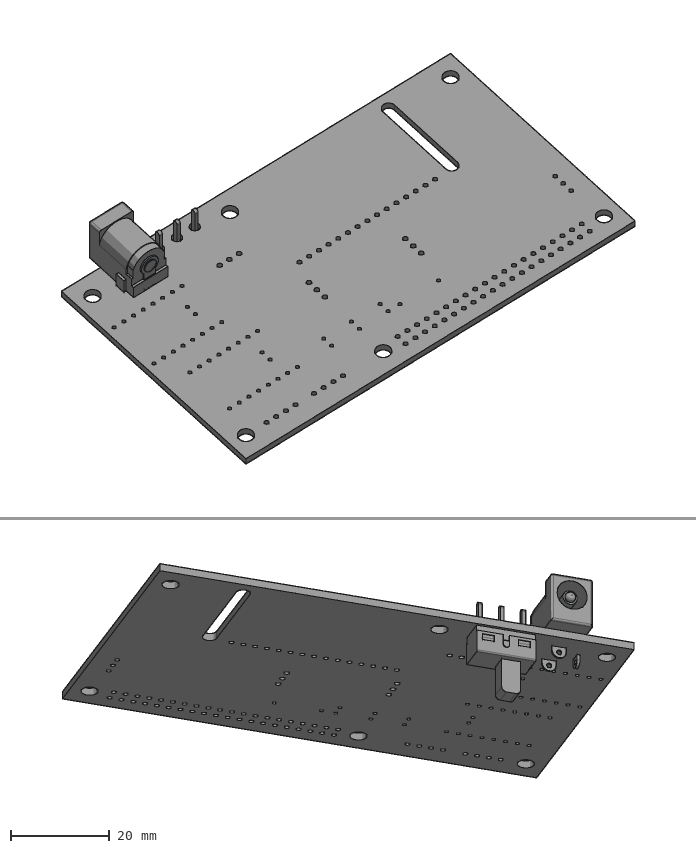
import cadquery as cq

BOARD_X = 59.0
BOARD_Y = 102.0
BOARD_T = 1.6

TOTAL_HEIGHT = 25.9

MOUNT_DIA = 3.5
MOUNT_XS = (5.0, 54.0)
MOUNT_YS = (4.1, 40.1, 97.9)
SLOT_CENTER = (13.7, 82.8)
SLOT_LENGTH = 23.1
SLOT_WIDTH = 3.0

HEADER_ROWS = 20
HEADER_LENGTH = 48.2
PITCH = HEADER_LENGTH / (HEADER_ROWS - 1)
SMALL_DIA = 0.8
MIDDLE_DIA = 0.95
HEADER_DIA = 1.0
LARGE_DIA = 1.1

CHIP_ROWS = 8
CHIP_WIDTH = 5 * PITCH
CHIP_CORNERS = ((14.4, 2.0), (33.6, 6.1))
CAPACITOR_STARTS = ((19.5, 17.0), (38.7, 20.9), (43.7, 47.7), (43.7, 40.2), (43.7, 32.9))
RESISTOR_START = (46.2, 50.8)
RESISTOR_SPAN = 4 * PITCH

HEADER_X = 52.7
HEADER_Y = 44.9
DISPLAY_START = (24.5, 42.3)
DISPLAY_ROWS = 15
SOCKET_STARTS = ((54.0, 9.5), (54.0, 21.9))
SOCKET_ROWS = 4

TOP_TRIO_START = (39.3, 97.2)
UPRIGHT_TRIO_START = (14.9, 29.3)
FLAT_TRIO_STARTS = ((30.0, 40.3), (33.2, 62.9))

JACK_FRONT = -3.8
JACK_FLANGE_BACK = -0.3
JACK_BODY_BACK = 8.3
JACK_BACK = 10.0
JACK_FOOT_BACK = 10.6
JACK_Y = 14.7
JACK_W = 9.0
JACK_H = 10.7
JACK_TOP = BOARD_T + JACK_H
JACK_BARREL_DROP = 0.2
JACK_BARREL_TOP = JACK_TOP - JACK_BARREL_DROP
JACK_BARREL_RISE = 4.0
JACK_NECK_W = 8.2
JACK_NECK_DROP = 0.1
JACK_NECK_TOP = JACK_BARREL_TOP - JACK_NECK_DROP
JACK_NECK_RISE = 3.0
JACK_SHOULDER_H = 5.1
JACK_FOOT_H = 3.1
JACK_EDGE_R = 0.5
JACK_FACE_R = 0.46
JACK_AXIS_DEPTH = 4.3
JACK_AXIS_Z = JACK_TOP - JACK_AXIS_DEPTH
BORE_DIA = 6.4
BORE_DEPTH = 9.2
CONTACT_DIA = 3.1
CONTACT_FRONT = JACK_FRONT + 1.2
CONTACT_TIP_DIA = 2.2
CONTACT_TIP_L = 1.1
CONTACT_TIP_R = 1.0

SHEET_T = 0.36
LUG_BOTTOM = -2.4
LUG_HOLE_DIA = 1.0
LUG_HOLE_Z = -1.2
WIDE_LUG_W = 3.1
SIDE_LUG_W = 2.4
SIDE_LUG_X = 7.0
SIDE_LUG_T = 0.6
SIDE_LUG_TOP = BOARD_T + 3.5
SLEEVE_LUG_X = 4.0
REAR_PLATE_R = 2.2
RIVET_DIA = 3.1

SWITCH_X = 3.6
SWITCH_Y = 27.3
SWITCH_LENGTH = 12.6
SWITCH_BASE_W = 5.8
SWITCH_COVER_W = 6.5
SWITCH_COVER_TOP = -1.3
SWITCH_BOTTOM = -6.1
SWITCH_EDGE_R = 0.3
COVER_T = (SWITCH_COVER_W - SWITCH_BASE_W) / 2
LATCH_W = 1.3
LATCH_BOTTOM = -4.1
LATCH_STEP_Z = -2.4
WINDOW_W = 2.5
WINDOW_TOP = -1.9
WINDOW_BOTTOM = -3.3
WINDOW_OFFSET = 3.9
END_NOTCH_W = 3.5
END_NOTCH_H = 1.3

LEVER_X = 3.7
LEVER_Y = 25.8
LEVER_W = 3.8
LEVER_L = 4.1
LEVER_BOTTOM = JACK_TOP - TOTAL_HEIGHT
LEVER_SEAT = 1.0
LEVER_TIP_R = 1.0

SWITCH_PIN_PITCH = 4.7
SWITCH_PIN_W = 1.2
SWITCH_PIN_T = 0.8
SWITCH_PIN_TOP = BOARD_T + 5.2
SWITCH_PIN_SEAT = 1.0
SWITCH_HOLE_DIA = 2.2


def box(x0, x1, y0, y1, z0, z1):
    """Box between two opposite corners."""
    return cq.Workplane("XY").box(x1 - x0, y1 - y0, z1 - z0, centered=False).translate((x0, y0, z0))


def x_cylinder(x0, x1, diameter):
    """Cylinder along X on the jack's axis."""
    disc = cq.Workplane("YZ", origin=(x0, JACK_Y, JACK_AXIS_Z)).circle(diameter / 2)
    return disc.extrude(x1 - x0)


def row(x, y, count, dx, dy):
    """Evenly spaced points starting at (x, y)."""
    return [(x + i * dx, y + i * dy) for i in range(count)]


def switch_pin_places():
    """Centers of the three switch pins, in line along Y."""
    return [(SWITCH_X, SWITCH_Y + i * SWITCH_PIN_PITCH) for i in (-1, 0, 1)]



def round_lug(width, thickness, top):
    """Upright plate in the XZ plane around X = 0, round at the bottom, with a solder hole."""
    radius = width / 2
    plate = (
        cq.Workplane("XZ")
        .moveTo(-radius, top)
        .lineTo(-radius, LUG_BOTTOM + radius)
        .threePointArc((0, LUG_BOTTOM), (radius, LUG_BOTTOM + radius))
        .lineTo(radius, top)
        .close()
        .extrude(-thickness)
    )
    hole = cq.Workplane("XZ").center(0, LUG_HOLE_Z).circle(LUG_HOLE_DIA / 2).extrude(-thickness)
    return plate.cut(hole)


def make_side_terminal():
    """Lug lying flat against the jack's -Y side."""
    lug = round_lug(SIDE_LUG_W, SIDE_LUG_T, SIDE_LUG_TOP)
    return lug.translate((SIDE_LUG_X, JACK_Y - JACK_W / 2 - SIDE_LUG_T, 0))


def cross_lug(x, top):
    """Wide lug standing across the jack, its front face at x."""
    lug = round_lug(WIDE_LUG_W, SHEET_T, top).rotate((0, 0, 0), (0, 0, 1), -90)
    return lug.translate((x, JACK_Y, 0))


def make_sleeve_terminal():
    """Lug from the underside of the jack's bore down through the board."""
    return cross_lug(SLEEVE_LUG_X, JACK_AXIS_Z - BORE_DIA / 2)


def make_center_terminal():
    """Rear lug with the round contact pin riveted to it."""
    plate_back = JACK_BACK + SHEET_T
    pin = x_cylinder(CONTACT_FRONT, JACK_BACK, CONTACT_DIA)
    tip = x_cylinder(CONTACT_FRONT - CONTACT_TIP_L, CONTACT_FRONT, CONTACT_TIP_DIA)
    tip = tip.faces("<X").edges().fillet(CONTACT_TIP_R)
    lug = cross_lug(JACK_BACK, JACK_AXIS_Z)
    plate = x_cylinder(JACK_BACK, plate_back, 2 * REAR_PLATE_R)
    rivet = x_cylinder(JACK_BACK, JACK_FOOT_BACK, RIVET_DIA)
    return pin.union(tip).union(lug).union(plate).union(rivet)



def barrel_section(x0, x1, width, top, rise):
    """Block with flat sides and an arched top that rises by the given height above the sides."""
    edge_z = top - rise
    return (
        cq.Workplane("YZ", origin=(x0, JACK_Y, 0))
        .moveTo(-width / 2, BOARD_T)
        .lineTo(-width / 2, edge_z)
        .threePointArc((0, top), (width / 2, edge_z))
        .lineTo(width / 2, BOARD_T)
        .close()
        .extrude(x1 - x0)
    )


def make_jack_housing(terminals):
    """Flanged housing with an arched top, a stepped rear, a round bore and terminal recesses."""
    y0 = JACK_Y - JACK_W / 2
    y1 = JACK_Y + JACK_W / 2
    flange = box(JACK_FRONT, JACK_FLANGE_BACK, y0, y1, BOARD_T, JACK_TOP)
    flange = flange.edges("|X and >Z").fillet(JACK_EDGE_R).faces("<X").edges().fillet(JACK_FACE_R)
    barrel = barrel_section(JACK_FLANGE_BACK, JACK_BODY_BACK, JACK_W, JACK_BARREL_TOP, JACK_BARREL_RISE)
    neck = barrel_section(JACK_BODY_BACK, JACK_BACK, JACK_NECK_W, JACK_NECK_TOP, JACK_NECK_RISE)
    housing = flange.union(barrel).union(neck)
    housing = housing.union(box(JACK_BODY_BACK, JACK_BACK, y0, y1, BOARD_T, BOARD_T + JACK_SHOULDER_H))
    housing = housing.union(box(JACK_BACK, JACK_FOOT_BACK, y0, y1, BOARD_T, BOARD_T + JACK_FOOT_H))
    housing = housing.cut(x_cylinder(JACK_FRONT, JACK_FRONT + BORE_DEPTH, BORE_DIA))
    for terminal in terminals:
        housing = housing.cut(terminal)
    return housing



def make_switch_pin(x, y):
    """Flat pin with a full round top."""
    half = SWITCH_PIN_W / 2
    return (
        cq.Workplane("XZ", origin=(x, y + SWITCH_PIN_T / 2, 0))
        .moveTo(-half, -SWITCH_PIN_SEAT)
        .lineTo(-half, SWITCH_PIN_TOP - half)
        .threePointArc((0, SWITCH_PIN_TOP), (half, SWITCH_PIN_TOP - half))
        .lineTo(half, -SWITCH_PIN_SEAT)
        .close()
        .extrude(SWITCH_PIN_T)
    )


def make_switch_lever():
    """Lever with a rounded tip, its upper end seated in the switch housing."""
    top = SWITCH_BOTTOM + LEVER_SEAT
    lever = cq.Workplane("XY", origin=(LEVER_X, LEVER_Y, LEVER_BOTTOM)).rect(LEVER_W, LEVER_L)
    lever = lever.extrude(top - LEVER_BOTTOM)
    return lever.edges("|X and <Z").fillet(LEVER_TIP_R)


def cover_windows(face_x):
    """Two windows in the cover's -X side, their floors upright above and sloping inward below."""
    floor_x = face_x + COVER_T / 2
    outline = [
        (face_x, WINDOW_TOP),
        (floor_x, WINDOW_TOP),
        (floor_x, (WINDOW_TOP + WINDOW_BOTTOM) / 2),
        (face_x + COVER_T, WINDOW_BOTTOM),
        (face_x, WINDOW_BOTTOM),
    ]
    profile = (
        cq.Workplane("XZ", origin=(0, WINDOW_W / 2, 0))
        .polyline(outline)
        .close()
        .extrude(WINDOW_W)
    )
    return [profile.translate((0, SWITCH_Y + side * WINDOW_OFFSET, 0)) for side in (-1, 1)]


def latch_slot(face_x):
    """U-shaped slot in the cover's -X side, open at the top, with a shallower floor below its step."""
    half = LATCH_W / 2
    slot = (
        cq.Workplane("YZ", origin=(face_x, SWITCH_Y, 0))
        .moveTo(-half, SWITCH_COVER_TOP)
        .lineTo(-half, LATCH_BOTTOM + half)
        .threePointArc((0, LATCH_BOTTOM), (half, LATCH_BOTTOM + half))
        .lineTo(half, SWITCH_COVER_TOP)
        .close()
        .extrude(COVER_T)
    )
    step = box(
        face_x + COVER_T / 2, face_x + COVER_T,
        SWITCH_Y - half, SWITCH_Y + half,
        LATCH_BOTTOM, LATCH_STEP_Z,
    )
    return slot.cut(step)


def make_switch_housing(lever, pins):
    """Base with a slightly wider lower part, with windows, a latch slot, an end notch and seats."""
    y0 = SWITCH_Y - SWITCH_LENGTH / 2
    y1 = SWITCH_Y + SWITCH_LENGTH / 2
    face_x = SWITCH_X - SWITCH_COVER_W / 2
    base = box(SWITCH_X - SWITCH_BASE_W / 2, SWITCH_X + SWITCH_BASE_W / 2, y0, y1, SWITCH_COVER_TOP, 0)
    cover = box(face_x, face_x + SWITCH_COVER_W, y0, y1, SWITCH_BOTTOM, SWITCH_COVER_TOP)
    cover = cover.edges("|Y and <Z").fillet(SWITCH_EDGE_R)
    housing = base.union(cover)
    for window in cover_windows(face_x):
        housing = housing.cut(window)
    housing = housing.cut(latch_slot(face_x))
    notch_bottom = SWITCH_BOTTOM + SWITCH_EDGE_R
    notch = box(
        LEVER_X - END_NOTCH_W / 2, LEVER_X + END_NOTCH_W / 2,
        y0, y0 + COVER_T,
        notch_bottom, notch_bottom + END_NOTCH_H,
    )
    housing = housing.cut(notch).cut(lever)
    for pin in pins:
        housing = housing.cut(pin)
    return housing



def hole_groups():
    """Component holes as (diameter, points)."""
    small = []
    for x, y in CHIP_CORNERS:
        small += row(x, y, CHIP_ROWS, 0, PITCH)
        small += row(x + CHIP_WIDTH, y, CHIP_ROWS, 0, PITCH)
    for x, y in CAPACITOR_STARTS:
        small += row(x, y, 2, PITCH, 0)
    small += row(*RESISTOR_START, 2, 0, RESISTOR_SPAN)

    header = []
    for column in range(2):
        header += row(HEADER_X + column * PITCH, HEADER_Y, HEADER_ROWS, 0, PITCH)
    header += row(*DISPLAY_START, DISPLAY_ROWS, 0, PITCH)
    for x, y in SOCKET_STARTS:
        header += row(x, y, SOCKET_ROWS, 0, PITCH)

    middle = row(*TOP_TRIO_START, 3, PITCH, 0)
    large = row(*UPRIGHT_TRIO_START, 3, 0, PITCH)
    for x, y in FLAT_TRIO_STARTS:
        large += row(x, y, 3, PITCH, 0)
    return [(SMALL_DIA, small), (MIDDLE_DIA, middle), (HEADER_DIA, header), (LARGE_DIA, large)]


def make_board(terminals):
    """Board with its holes, the cable slot and slits for the jack terminals."""
    board = box(0, BOARD_X, 0, BOARD_Y, 0, BOARD_T)
    mounts = [(x, y) for x in MOUNT_XS for y in MOUNT_YS]
    groups = hole_groups() + [(MOUNT_DIA, mounts), (SWITCH_HOLE_DIA, switch_pin_places())]
    for diameter, points in groups:
        board = board.cut(cq.Workplane("XY").pushPoints(points).circle(diameter / 2).extrude(BOARD_T))
    slot = cq.Workplane("XY").center(*SLOT_CENTER).slot2D(SLOT_LENGTH, SLOT_WIDTH).extrude(BOARD_T)
    board = board.cut(slot)
    for terminal in terminals:
        board = board.cut(terminal)
    return board


side_terminal = make_side_terminal()
sleeve_terminal = make_sleeve_terminal()
center_terminal = make_center_terminal()
jack_terminals = [side_terminal, sleeve_terminal, center_terminal]
jack_housing = make_jack_housing(jack_terminals)

switch_pins = [make_switch_pin(x, y) for x, y in switch_pin_places()]
switch_lever = make_switch_lever()
switch_housing = make_switch_housing(switch_lever, switch_pins)

board = make_board(jack_terminals)

bodies = [board, jack_housing, *jack_terminals, switch_housing, switch_lever, *switch_pins]
result = cq.Compound.makeCompound([body.val() for body in bodies])